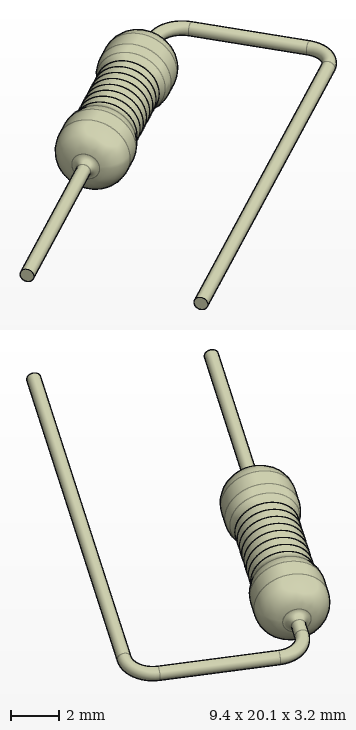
import cadquery as cq
import math


lead_diameter = 0.6
lead_radius = lead_diameter / 2
lead_pitch = 7.5
bend_radius = 2 * lead_diameter
total_length = 20.1
fold_outer_y = 7.01

cap_radius = 3.2 / 2
barrel_radius = 2.71 / 2
band_radius = 2.73 / 2
cap_round = 1.09
neck_end_y = 4.82
cap_outer_y = 3.42
cap_inner_y = 2.57
barrel_half_length = 1.63

segment_count = 7
segment_length = 2 * barrel_half_length / segment_count


def arc_point(center, radius, angle):
    """Point on a circle at an angle in radians."""
    return (center[0] + radius * math.cos(angle), center[1] + radius * math.sin(angle))


round_center = (cap_radius - cap_round, cap_outer_y)
center_rise = neck_end_y - cap_outer_y
center_gap = round_center[0] - lead_radius
neck_radius = (center_gap**2 + center_rise**2 - cap_round**2) / (2 * (cap_round + center_gap))
neck_center = (lead_radius + neck_radius, neck_end_y)
neck_angle = math.atan2(center_rise, neck_center[0] - round_center[0])
neck_joint = arc_point(round_center, cap_round, neck_angle)
neck_middle = arc_point(neck_center, neck_radius, math.pi + neck_angle / 2)
cap_middle = arc_point(round_center, cap_round, neck_angle / 2)

step_height = cap_radius - barrel_radius
step_length = cap_inner_y - barrel_half_length
shoulder_radius = (step_height**2 + step_length**2) / (4 * step_height)
shoulder_angle = math.asin(step_length / (2 * shoulder_radius))
shoulder_joint = ((cap_radius + barrel_radius) / 2, (cap_inner_y + barrel_half_length) / 2)
convex_center = (cap_radius - shoulder_radius, cap_inner_y)
concave_center = (barrel_radius + shoulder_radius, barrel_half_length)
convex_middle = arc_point(convex_center, shoulder_radius, -shoulder_angle / 2)
concave_middle = arc_point(concave_center, shoulder_radius, math.pi - shoulder_angle / 2)


def make_body_end():
    """Upper end of the body: shoulder, cap and neck, starting at the end of the barrel."""
    return (
        cq.Workplane("XY")
        .moveTo(0, barrel_half_length)
        .lineTo(barrel_radius, barrel_half_length)
        .threePointArc(concave_middle, shoulder_joint)
        .threePointArc(convex_middle, (cap_radius, cap_inner_y))
        .lineTo(cap_radius, cap_outer_y)
        .threePointArc(cap_middle, neck_joint)
        .threePointArc(neck_middle, (lead_radius, neck_end_y))
        .lineTo(0, neck_end_y)
        .close()
        .revolve(360, (0, 0, 0), (0, 1, 0))
    )


def make_segment(index):
    """Stretch of barrel, counted from the lower end: even ones are bands, odd ones plain."""
    start_y = index * segment_length - barrel_half_length
    radius = band_radius if index % 2 == 0 else barrel_radius
    return cq.Workplane("XZ", origin=(0, start_y, 0)).circle(radius).extrude(-segment_length)


def make_lead():
    """Continuous wire through the body, folded back beside it."""
    fold_y = fold_outer_y - lead_radius
    tip_y = fold_outer_y - total_length
    bend_y = fold_y - bend_radius
    diagonal = bend_radius * math.sqrt(0.5)
    near_x = bend_radius
    far_x = lead_pitch - bend_radius
    path = (
        cq.Workplane("XY")
        .moveTo(0, tip_y)
        .lineTo(0, bend_y)
        .threePointArc((near_x - diagonal, bend_y + diagonal), (near_x, fold_y))
        .lineTo(far_x, fold_y)
        .threePointArc((far_x + diagonal, bend_y + diagonal), (lead_pitch, bend_y))
        .lineTo(lead_pitch, tip_y)
    )
    return cq.Workplane("XZ", origin=(0, tip_y, 0)).circle(lead_radius).sweep(path)


body_end = make_body_end()
result = make_lead().union(body_end).union(body_end.mirror("XZ"))
for segment in range(segment_count):
    result = result.union(make_segment(segment))